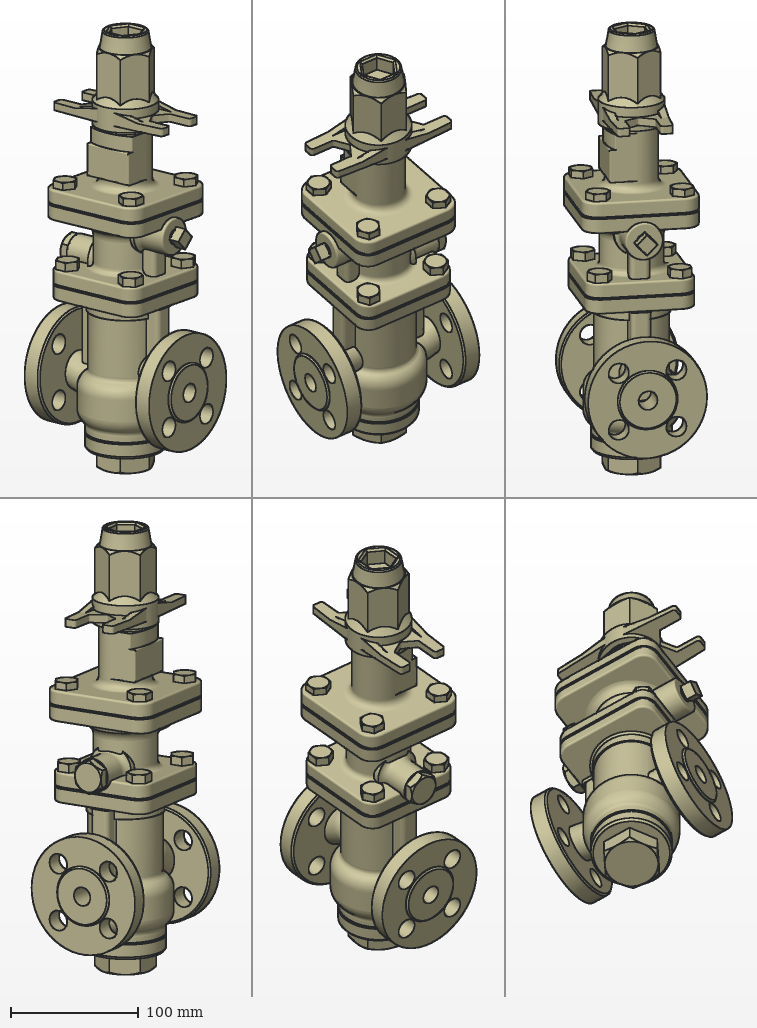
import cadquery as cq
import math

total_height = 357.0

hex_flats = 41.8
plug_hex_top = 15.0
plug_rim_radius = 30.0
plug_chamfer_top = 17.0
plug_top = 27.0
plug_radius = 31.8
groove_depth = 0.7
groove_height = 1.5

shoulder_bottom = 33.2
shoulder_radius = 33.5
shoulder_top = 38.0
bulge_radius = 38.0
bulge_bottom = 47.0
bulge_top = 64.5
bulge_shoulder_z = 76.5
barrel_radius = 29.5
barrel_bottom = 81.0
collar_radius = 30.7
collar_bottom = 128.0
collar_top = 136.7
collar_flare = 1.8

flange_edge_round = 1.8
lower_flange_side = 87.0
lower_flange_bottom = 138.5
lower_flange_top = 163.0
lower_flange_corner = 12.0
lower_bolt_offset = 32.0
lower_bolt_height = 7.0
upper_flange_side = 93.5
upper_flange_bottom = 205.0
upper_flange_top = 230.0
upper_flange_corner = 13.2
upper_bolt_offset = 33.5
upper_bolt_height = 6.0
bolt_flats = 17.0

neck_radius = 25.5
neck_root_round = 5.0
neck_flare_bottom = 190.3
neck_ring_radius = 29.3
neck_ring_bottom = 197.5
neck_ring_spread = 1.5
neck_ring_top = 201.0
neck_flare_radius = 36.0

column_radius = 21.0
column_root_round = 6.5
plate_bottom = 238.5
plate_step = 265.0
plate_top = 277.5
plate_front = 21.8
plate_step_front = 17.0
plate_edge_round = 1.0
handle_hub_radius = 26.0
handle_hub_bottom = 280.5
handle_hub_top = 300.0
hub_cone_top = 306.3
tip_chamfer = 1.0
cap_hex_top = 342.7
cap_cone_radius = 20.5
cap_top_radius = 18.0
socket_flats = 24.3
socket_depth = 13.5
socket_chamfer = 1.8

handle_bottom = 285.5
handle_top = 292.0
handle_half_length = 55.5
handle_half_width = 22.0
arm_width = 10.0
arm_end_round = 2.5
notch_round = 1.8
notch_mouth_x = 34.5
notch_root_x = 27.0
rib_top = 296.3
rib_inner_x = 6.8
rib_slope_start_x = 10.0
rib_outer_x = 31.8
rib_inner_y = 17.0
rib_outer_y = 24.5

pipe_z = 72.5
pipe_flange_diameter = 95.0
pipe_flange_outer = 63.2
pipe_flange_inner = 48.5
pipe_flange_chamfer = 1.5
raised_face_diameter = 48.0
raised_face_end = 65.0
raised_face_chamfer = 1.5
bore_diameter = 15.0
bore_depth = 25.0
pipe_hole_diameter = 16.0
pipe_hole_circle = 65.0
pipe_diameter = 30.0
inlet_slope = -0.3
inlet_elbow_x = 38.0
outlet_slope = 0.5
outlet_elbow_x = 35.5

upper_boss_diameter = 30.0
upper_boss_z = 197.5
upper_boss_end = 50.0
boss_end_round = 1.5
upper_boss_root = 3.5
lower_boss_root = 5.5
square_plug_diagonal = 16.8
square_plug_neck = 12.0
square_plug_start = 51.5
square_plug_end = 60.7
lower_boss_diameter = 27.0
lower_boss_z = 166.7
lower_boss_end = 48.5
hex_plug_corner = 14.0
hex_plug_end = 56.5
hex_plug_face_radius = 11.8
rib_reach = 39.5
rib_width = 15.7
rib_round = 4.0
rib_root_round = 2.5
core_inset = 0.18
rib_flare = 2.5
inlet_rib_bottom = 71.5
outlet_rib_bottom = 92.8
neck_rib_reach = 35.7

half_sqrt = math.sqrt(0.5)


def hexagon(flats, bottom, top, turn=0):
    """Vertical hexagonal prism; at turn 0 two corners lie on X."""
    prism = cq.Workplane("XY").polygon(6, flats / math.cos(math.pi / 6)).extrude(top - bottom)
    return prism.rotate((0, 0, 0), (0, 0, 1), turn).translate((0, 0, bottom))


def cone(low_radius, high_radius, bottom, top):
    """Solid of revolution about Z with straight sides."""
    outline = [(0, bottom), (low_radius, bottom), (high_radius, top), (0, top)]
    return cq.Workplane("XZ").polyline(outline).close().revolve(360, (0, 0, 0), (0, 1, 0))


def x_rod(diameter, start, end, z):
    """Round rod along X."""
    return cq.Workplane("YZ", origin=(start, 0, z)).circle(diameter / 2).extrude(end - start)


def box(x0, x1, y0, y1, z0, z1):
    """Box between two opposite corners."""
    return cq.Workplane("XY").box(x1 - x0, y1 - y0, z1 - z0, centered=False).translate((x0, y0, z0))


def turned_body():
    """Plug rim, lower body, neck and spring column in one revolved profile."""
    root = half_sqrt * neck_root_round
    neck_mid = (neck_radius + neck_root_round - root, lower_flange_top + neck_root_round - root)
    root = half_sqrt * column_root_round
    column_mid = (column_radius + column_root_round - root, upper_flange_top + column_root_round - root)
    profile = (
        cq.Workplane("XZ")
        .moveTo(0, plug_hex_top)
        .lineTo(plug_rim_radius, plug_hex_top)
        .lineTo(plug_radius, plug_chamfer_top)
        .lineTo(plug_radius, plug_top)
        .lineTo(plug_radius - groove_depth, plug_top)
        .lineTo(plug_radius - groove_depth, plug_top + groove_height)
        .lineTo(plug_radius, plug_top + groove_height)
        .lineTo(plug_radius, shoulder_bottom)
        .threePointArc((plug_radius + 0.5, shoulder_bottom + 3.0), (shoulder_radius, shoulder_top))
        .threePointArc((bulge_radius - 1.0, bulge_bottom - 4.5), (bulge_radius, bulge_bottom))
        .lineTo(bulge_radius, bulge_top)
        .threePointArc((bulge_radius - 2.5, bulge_top + 8.2), (barrel_radius + 1.8, bulge_shoulder_z))
        .threePointArc((barrel_radius + 0.5, bulge_shoulder_z + 1.8), (barrel_radius, barrel_bottom))
        .lineTo(barrel_radius, collar_bottom)
        .lineTo(collar_radius, collar_bottom)
        .lineTo(collar_radius, collar_top)
        .lineTo(collar_radius + collar_flare, lower_flange_bottom)
        .lineTo(collar_radius + collar_flare, lower_flange_top)
        .lineTo(neck_radius + neck_root_round, lower_flange_top)
        .threePointArc(neck_mid, (neck_radius, lower_flange_top + neck_root_round))
        .lineTo(neck_radius, neck_flare_bottom)
        .threePointArc((neck_radius + 1.0, neck_flare_bottom + 4.0), (neck_ring_radius, neck_ring_bottom))
        .lineTo(neck_ring_radius + neck_ring_spread, neck_ring_top)
        .threePointArc((neck_flare_radius - 3.2, upper_flange_bottom - 1.5),
                       (neck_flare_radius, upper_flange_bottom))
        .lineTo(neck_flare_radius, upper_flange_top)
        .lineTo(column_radius + column_root_round, upper_flange_top)
        .threePointArc(column_mid, (column_radius, upper_flange_top + column_root_round))
        .lineTo(column_radius, handle_hub_bottom)
        .lineTo(0, handle_hub_bottom)
        .close()
    )
    return profile.revolve(360, (0, 0, 0), (0, 1, 0))


def bottom_hex():
    """Plug hexagon with its lower corners turned off."""
    hexagon_body = hexagon(hex_flats, 0, plug_hex_top + groove_height)
    half_flats = hex_flats / 2
    return hexagon_body.intersect(cone(half_flats, half_flats + plug_hex_top * 2, 0, plug_hex_top * 1.2))


def bolt_head(base, height):
    """Hexagon head whose top corners are turned down to a round face."""
    head = hexagon(bolt_flats, base, base + height)
    top_radius = bolt_flats / 2
    slope_run = 3 * height
    return head.intersect(cone(top_radius + slope_run, top_radius, base, base + height))


def square_flange(side, bottom, top, corner, bolt_offset, bolt_height):
    """Bolted pair of square flanges with a thin joint line between them."""
    pair = cq.Workplane("XY").rect(side, side).extrude(top - bottom).translate((0, 0, bottom))
    pair = pair.edges("|Z").fillet(corner)
    pair = pair.faces("<Z or >Z").edges().fillet(flange_edge_round)
    middle = (bottom + top) / 2
    joint = box(-side, side, -side, side, middle - groove_height / 2, middle + groove_height / 2)
    core_side = side - 2 * groove_depth
    core = cq.Workplane("XY").rect(core_side, core_side).extrude(total_height).edges("|Z").fillet(corner)
    pair = pair.cut(joint.cut(core))
    for quarter in range(4):
        head = bolt_head(top, bolt_height).translate((-bolt_offset, -bolt_offset, 0))
        pair = pair.union(head.rotate((0, 0, 0), (0, 0, 1), 90 * quarter))
    return pair


def name_plate():
    """Stepped block on the -Y side of the column; the upper step has a curved front."""
    low = box(-column_radius, column_radius, -plate_front, 0, plate_bottom, plate_step)
    low = low.faces("<Y").edges().fillet(plate_edge_round)
    high = (
        cq.Workplane("XY", origin=(0, 0, plate_step))
        .moveTo(-column_radius, 0)
        .lineTo(-column_radius, -plate_step_front)
        .threePointArc((0, -plate_front), (column_radius, -plate_step_front))
        .lineTo(column_radius, 0)
        .close()
        .extrude(plate_top - plate_step)
    )
    high = high.faces("<X or >X").edges("|Z and <Y").fillet(plate_edge_round)
    return low.union(high)


def cap():
    """Handle hub, hexagon and socketed cone on top."""
    hub = cone(handle_hub_radius, handle_hub_radius, handle_hub_bottom, handle_hub_top)
    hub = hub.union(cone(handle_hub_radius, hex_flats / 2, handle_hub_top, hub_cone_top))
    corner_height = 2 * hex_flats
    nut = hexagon(hex_flats, handle_hub_top, cap_hex_top)
    nut = nut.intersect(cone(hex_flats / 2 + corner_height, hex_flats / 2, cap_hex_top - corner_height, cap_hex_top))
    tip = cone(cap_cone_radius, cap_top_radius, cap_hex_top, total_height)
    tip = tip.faces(">Z").edges().chamfer(tip_chamfer)
    socket = hexagon(socket_flats, total_height - socket_depth, total_height)
    mouth_size = (socket_flats + 2 * socket_chamfer) / math.cos(math.pi / 6)
    mouth = cq.Workplane("XY", origin=(0, 0, total_height)).polygon(6, mouth_size)
    mouth = mouth.extrude(-socket_chamfer, taper=45)
    return hub.union(nut).union(tip).cut(socket).cut(mouth)


def handle():
    """Four-armed handle plate with sloping ribs beside the hub."""
    inner_y = handle_half_width - arm_width
    outline = [
        (handle_half_length, handle_half_width),
        (rib_inner_x, rib_outer_y),
        (-rib_inner_x, rib_outer_y),
        (-handle_half_length, handle_half_width),
        (-handle_half_length, inner_y),
        (-notch_mouth_x, inner_y),
        (-notch_root_x, 0),
        (-notch_mouth_x, -inner_y),
        (-handle_half_length, -inner_y),
        (-handle_half_length, -handle_half_width),
        (-rib_inner_x, -rib_outer_y),
        (rib_inner_x, -rib_outer_y),
        (handle_half_length, -handle_half_width),
        (handle_half_length, -inner_y),
        (notch_mouth_x, -inner_y),
        (notch_root_x, 0),
        (notch_mouth_x, inner_y),
        (handle_half_length, inner_y),
    ]
    thickness = handle_top - handle_bottom
    plate = cq.Workplane("XY", origin=(0, 0, handle_bottom)).polyline(outline).close().extrude(thickness)
    plate = plate.faces("<X or >X").edges("|Z").fillet(arm_end_round)
    mouth_corners = cq.selectors.BoxSelector((-notch_mouth_x - 0.5, -inner_y - 0.5, 0),
                                             (notch_mouth_x + 0.5, inner_y + 0.5, total_height))
    plate = plate.edges("|Z").edges(mouth_corners).fillet(notch_round)
    middle_gap = box(-rib_inner_x, rib_inner_x, -rib_outer_y, rib_outer_y, handle_bottom, handle_top)
    plate = plate.cut(middle_gap)
    slope = [
        (rib_inner_x, handle_bottom),
        (rib_outer_x, handle_bottom),
        (rib_outer_x, handle_top),
        (rib_slope_start_x, rib_top),
        (rib_inner_x, rib_top),
    ]
    rib = cq.Workplane("XZ", origin=(0, rib_outer_y, 0)).polyline(slope).close()
    rib = rib.extrude(rib_outer_y - rib_inner_y)
    taper = [
        (0, 0),
        (handle_half_length, 0),
        (handle_half_length, handle_half_width),
        (rib_inner_x, rib_outer_y),
        (0, rib_outer_y),
    ]
    rib = rib.intersect(cq.Workplane("XY").polyline(taper).close().extrude(total_height))
    for one_rib in (rib, rib.mirror("YZ")):
        plate = plate.union(one_rib).union(one_rib.mirror("XZ"))
    return plate


def pipe_flange():
    """Drilled round flange with a raised face."""
    disc = x_rod(pipe_flange_diameter, pipe_flange_inner, pipe_flange_outer, pipe_z)
    disc = disc.faces("<X").edges().chamfer(pipe_flange_chamfer)
    face = x_rod(raised_face_diameter, pipe_flange_inner, raised_face_end, pipe_z)
    disc = disc.union(face.faces(">X").edges().chamfer(raised_face_chamfer))
    offset = pipe_hole_circle / 2 * half_sqrt
    for side_y in (-offset, offset):
        for side_z in (-offset, offset):
            hole = x_rod(pipe_hole_diameter, 0, total_height, pipe_z + side_z)
            disc = disc.cut(hole.translate((0, side_y, 0)))
    return disc


def elbow_pipe(slope, elbow_x):
    """Pipe that climbs by slope per unit from the flange to an elbow, then runs level into the body."""
    start_x = pipe_flange_outer - 3.5
    run = start_x - elbow_x
    elbow_z = pipe_z + slope * run
    plane = cq.Plane(origin=(start_x, 0, pipe_z), xDir=(0, 1, 0), normal=(-1, 0, slope))
    pipe = cq.Workplane(plane).circle(pipe_diameter / 2).extrude(math.hypot(run, slope * run))
    pipe = pipe.intersect(box(0, start_x, -start_x, start_x, 0, 2 * pipe_z))
    elbow = cq.Workplane("XY").sphere(pipe_diameter / 2).translate((elbow_x, 0, elbow_z))
    return pipe.union(elbow).union(x_rod(pipe_diameter, 0, elbow_x, elbow_z))


def pilot_rib(bottom):
    """Upright rounded rib carrying the pilot passage, with a flared top under the flange."""
    half = rib_width / 2
    top = lower_flange_bottom + 3.5
    rib = box(0, rib_reach, -half, half, bottom, top)
    rib = rib.edges("|Z and >X").fillet(rib_round)
    core_radius = barrel_radius - core_inset
    seams = cq.selectors.BoxSelector((core_radius / 2, -rib_width, 0), (core_radius, rib_width, total_height))
    rib = rib.union(cone(core_radius, core_radius, bottom, top)).edges(seams).fillet(rib_root_round)
    flare_half = half + rib_flare
    flare = box(0, rib_reach + rib_flare, -flare_half, flare_half, collar_top, top)
    flare = flare.edges("|Z and >X").fillet(rib_round)
    return rib.union(flare.faces("<Z").edges("not <X").chamfer(rib_flare))


def boss_root(diameter, z, size):
    """Concave flare that carries a boss along X into the neck."""
    inner_x = neck_radius - size / 2
    outer_x = inner_x + size
    radius = diameter / 2
    bend = size * (1 - half_sqrt)
    profile = (
        cq.Workplane("XY")
        .moveTo(inner_x - size, 0)
        .lineTo(outer_x, 0)
        .lineTo(outer_x, radius)
        .threePointArc((inner_x + bend, radius + bend), (inner_x, radius + size))
        .lineTo(inner_x - size, radius + size)
        .close()
    )
    return profile.revolve(360, (0, 0, 0), (1, 0, 0)).translate((0, 0, z))


def upper_boss():
    """Boss with a square-headed plug and the short rib below it."""
    boss = x_rod(upper_boss_diameter, 0, upper_boss_end, upper_boss_z)
    boss = boss.faces(">X").edges().fillet(boss_end_round)
    boss = boss.union(boss_root(upper_boss_diameter, upper_boss_z, upper_boss_root))
    boss = boss.union(x_rod(square_plug_neck, 0, square_plug_start, upper_boss_z))
    head = cq.Workplane("YZ", origin=(square_plug_start, 0, upper_boss_z)).polygon(4, square_plug_diagonal)
    boss = boss.union(head.extrude(square_plug_end - square_plug_start))
    half = rib_width / 2
    rib = box(0, neck_rib_reach, -half, half, lower_flange_top, upper_boss_z)
    return boss.union(rib.edges("|Z and >X").fillet(rib_round))


def lower_boss():
    """Boss closed by a hexagonal plug with a corner pointing up and a turned-down end."""
    boss = x_rod(lower_boss_diameter, 0, lower_boss_end, lower_boss_z)
    boss = boss.union(boss_root(lower_boss_diameter, lower_boss_z, lower_boss_root))
    length = hex_plug_end - lower_boss_end
    plug = cq.Workplane("XY").polygon(6, 2 * hex_plug_corner).extrude(length)
    plug = plug.intersect(cone(hex_plug_face_radius + length, hex_plug_face_radius, 0, length))
    plug = plug.rotate((0, 0, 0), (0, 1, 0), 90)
    return boss.union(plug.translate((lower_boss_end, 0, lower_boss_z)))


result = turned_body()
result = result.union(lower_boss().mirror("YZ"))
result = result.union(upper_boss())
result = result.union(bottom_hex())
result = result.union(square_flange(lower_flange_side, lower_flange_bottom, lower_flange_top,
                                    lower_flange_corner, lower_bolt_offset, lower_bolt_height))
result = result.union(square_flange(upper_flange_side, upper_flange_bottom, upper_flange_top,
                                    upper_flange_corner, upper_bolt_offset, upper_bolt_height))
result = result.union(name_plate()).union(cap()).union(handle())

inlet = elbow_pipe(inlet_slope, inlet_elbow_x).union(pilot_rib(inlet_rib_bottom)).union(pipe_flange())
outlet = elbow_pipe(outlet_slope, outlet_elbow_x).union(pilot_rib(outlet_rib_bottom)).union(pipe_flange())
bore = x_rod(bore_diameter, raised_face_end - bore_depth, raised_face_end, pipe_z)
result = result.union(inlet.mirror("YZ")).union(outlet)
result = result.cut(bore).cut(bore.mirror("YZ"))